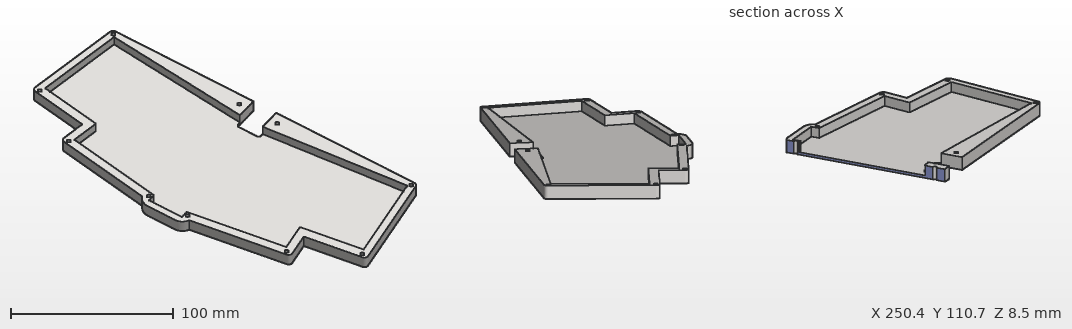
import cadquery as cq
import math

WIDTH = 250.4
DEPTH = 110.7
HEIGHT = 8.5
FLOOR = 2.0

WING_TILT = math.radians(9)

SIDE_LENGTH = 70.8
SHOULDER_LENGTH = 42.8
STEP_LENGTH = 18.5
FRONT_LENGTH = 69.3
CORNER_RADIUS = 2.5

ROUNDING_LOSS = CORNER_RADIUS * (math.cos(WING_TILT) + math.sin(WING_TILT) - 1)
SHOULDER_X = -WIDTH / 2 - ROUNDING_LOSS
BACK_CORNER = (SHOULDER_X + SIDE_LENGTH * math.sin(WING_TILT), 0)

NOSE_Y = -DEPTH
NOSE_RADIUS = 8.0
NOSE_FLAT_HALF = 10.3

POCKET_CORNER = (-110.2, -4.5)
POCKET_SIDE = 60.8
POCKET_SHOULDER = 43.5
POCKET_STEP = 19.0
POCKET_FRONT = 68.0
NOSE_WALL = 4.5
POCKET_NOSE_Y = NOSE_Y + NOSE_WALL
POCKET_BACK_Y = -14.5

NOTCH_HALF = 8.5
NOTCH_DEPTH = 18.0
NOTCH_RADIUS = 1.5

HOLE_DIAMETER = 2.5
LEFT_HOLES = [
    (-112.0, -2.8),
    (-121.2, -68.0),
    (-81.9, -93.1),
    (-14.5, -103.1),
    (-14.3, -7.0),
]


def mirrored(points):
    """Points reflected in the YZ plane, in reverse order."""
    return [(-x, y) for x, y in reversed(points)]


def wing_walls(corner, side, shoulder, step, front):
    """Corners met when walking along the left wing from its back corner to its nose."""
    forward = (-math.sin(WING_TILT), -math.cos(WING_TILT))
    inward = (math.cos(WING_TILT), -math.sin(WING_TILT))
    walk = [(side, forward), (shoulder, inward), (step, forward), (front, inward)]
    points = [corner]
    for length, (dx, dy) in walk:
        x, y = points[-1]
        points.append((x + length * dx, y + length * dy))
    return points


def make_body():
    left = wing_walls(BACK_CORNER, SIDE_LENGTH, SHOULDER_LENGTH, STEP_LENGTH, FRONT_LENGTH)
    right = mirrored(left)
    nose_start = left[-1]
    flat_start = (-NOSE_FLAT_HALF, NOSE_Y)
    body = (
        cq.Workplane("XY")
        .polyline(left)
        .radiusArc(flat_start, -NOSE_RADIUS)
        .lineTo(NOSE_FLAT_HALF, NOSE_Y)
        .radiusArc((-nose_start[0], nose_start[1]), -NOSE_RADIUS)
    )
    for point in right[1:]:
        body = body.lineTo(*point)
    body = body.close().extrude(HEIGHT)

    back, shoulder, _, front, _ = left
    for x, y in [back, shoulder, front] + mirrored([back, shoulder, front]):
        corner_edge = cq.selectors.NearestToPointSelector((x, y, HEIGHT / 2))
        body = body.edges("|Z").edges(corner_edge).fillet(CORNER_RADIUS)
    return body


def make_pocket():
    left = wing_walls(POCKET_CORNER, POCKET_SIDE, POCKET_SHOULDER, POCKET_STEP, POCKET_FRONT)
    left.insert(0, (-NOTCH_HALF, POCKET_BACK_Y))
    left.append((left[-1][0], POCKET_NOSE_Y))
    outline = left + mirrored(left)
    return cq.Workplane("XY", origin=(0, 0, FLOOR)).polyline(outline).close().extrude(HEIGHT)


def make_notch():
    return (
        cq.Workplane("XY")
        .box(2 * NOTCH_HALF, 2 * NOTCH_DEPTH, HEIGHT, centered=(True, True, False))
        .edges("|Z and <Y")
        .fillet(NOTCH_RADIUS)
    )


def make_holes():
    return (
        cq.Workplane("XY")
        .pushPoints(LEFT_HOLES + mirrored(LEFT_HOLES))
        .circle(HOLE_DIAMETER / 2)
        .extrude(HEIGHT)
    )


result = make_body().cut(make_pocket()).cut(make_notch()).cut(make_holes())